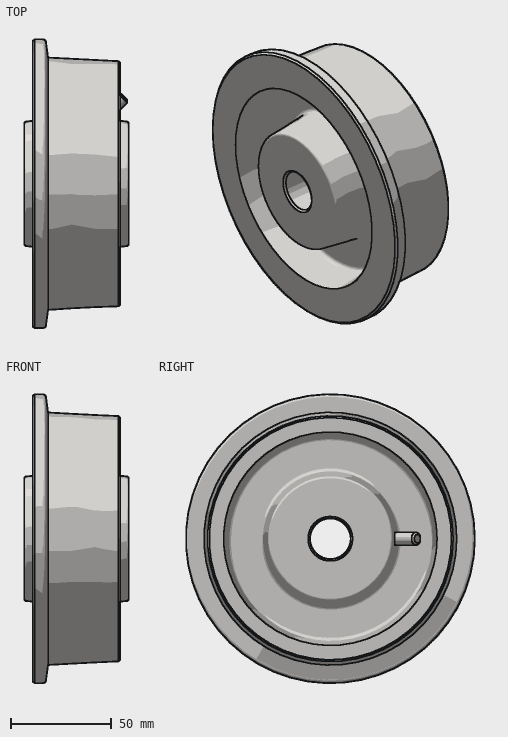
import cadquery as cq
import math

hub_length = 52.0
hub_end_radius = 31.0
hub_root_radius = 33.6
hub_edge_fillet = 1.3
bore_radius = 10.0
bore_chamfer = 1.0

flange_radius = 71.8
flange_face_x = 4.2
flange_edge_x = 10.9
flange_edge_chamfer = 1.0
flange_edge_fillet = 1.7
flange_flank_radius = 70.0

tread_start_x = 11.9
tread_start_radius = 62.7
tread_taper = 1 / 20
rim_face_x = 47.6
rim_edge_chamfer = 0.9
tread_end_radius = tread_start_radius - (rim_face_x - tread_start_x) * tread_taper

web_thickness = 5.0
web_centre_x = (flange_face_x + rim_face_x) / 2
web_left_x = web_centre_x - web_thickness / 2
web_right_x = web_centre_x + web_thickness / 2
pocket_mouth_radius = 53.0
pocket_floor_radius = 50.5
pocket_fillet = 2.0

nipple_radius = 3.2
nipple_length = 19.4
nipple_chamfer = 1.0
nipple_angle = math.radians(45)
nipple_tip_x = 49.7
nipple_tip_y = 43.2


def revolve_about_axle(profile):
    return profile.close().revolve(360, (0, 0, 0), (1, 0, 0))


def make_hub():
    """Hub flaring from both rounded ends to its widest section at the web, with the bore."""
    profile = (
        cq.Workplane("XY")
        .moveTo(0, bore_radius + bore_chamfer)
        .lineTo(0, hub_end_radius - hub_edge_fillet)
        .radiusArc((hub_edge_fillet, hub_end_radius), hub_edge_fillet)
        .lineTo(web_left_x, hub_root_radius)
        .lineTo(web_right_x, hub_root_radius)
        .lineTo(hub_length - hub_edge_fillet, hub_end_radius)
        .radiusArc((hub_length, hub_end_radius - hub_edge_fillet), hub_edge_fillet)
        .lineTo(hub_length, bore_radius + bore_chamfer)
        .lineTo(hub_length - bore_chamfer, bore_radius)
        .lineTo(bore_chamfer, bore_radius)
    )
    return revolve_about_axle(profile)


def make_rim_and_web():
    """Flanged rim with the tapered tread and the web, reaching inward to the bore."""
    profile = (
        cq.Workplane("XY")
        .moveTo(flange_face_x, pocket_mouth_radius)
        .lineTo(flange_face_x, flange_radius - flange_edge_chamfer)
        .lineTo(flange_face_x + flange_edge_chamfer, flange_radius)
        .lineTo(flange_edge_x - flange_edge_fillet, flange_radius)
        .radiusArc((flange_edge_x, flange_flank_radius), flange_edge_fillet)
        .lineTo(tread_start_x, tread_start_radius)
        .lineTo(rim_face_x - rim_edge_chamfer, tread_end_radius)
        .lineTo(rim_face_x, tread_end_radius - rim_edge_chamfer)
        .lineTo(rim_face_x, pocket_mouth_radius)
        .lineTo(web_right_x, pocket_floor_radius)
        .lineTo(web_right_x, bore_radius)
        .lineTo(web_left_x, bore_radius)
        .lineTo(web_left_x, pocket_floor_radius)
    )
    return revolve_about_axle(profile)


def make_wheel():
    wheel = make_hub().union(make_rim_and_web())
    corner_zone = cq.selectors.BoxSelector(
        (web_left_x - pocket_fillet, -flange_radius, -flange_radius),
        (web_right_x + pocket_fillet, flange_radius, flange_radius),
    )
    return wheel.edges("%CIRCLE").edges(corner_zone).fillet(pocket_fillet)


def make_nipple():
    """Cylinder with a chamfered tip; its root end lies inside the hub."""
    direction = cq.Vector(math.cos(nipple_angle), math.sin(nipple_angle), 0)
    root = cq.Vector(nipple_tip_x, nipple_tip_y, 0) - direction * nipple_length
    root_plane = cq.Plane(origin=root, xDir=(0, 0, 1), normal=direction)
    nipple = cq.Workplane(root_plane).circle(nipple_radius).extrude(nipple_length)
    return nipple.faces(cq.selectors.DirectionMinMaxSelector(direction)).edges().chamfer(nipple_chamfer)


nipple = make_nipple()
wheel = make_wheel().cut(nipple)

result = cq.Compound.makeCompound([wheel.val(), nipple.val()])